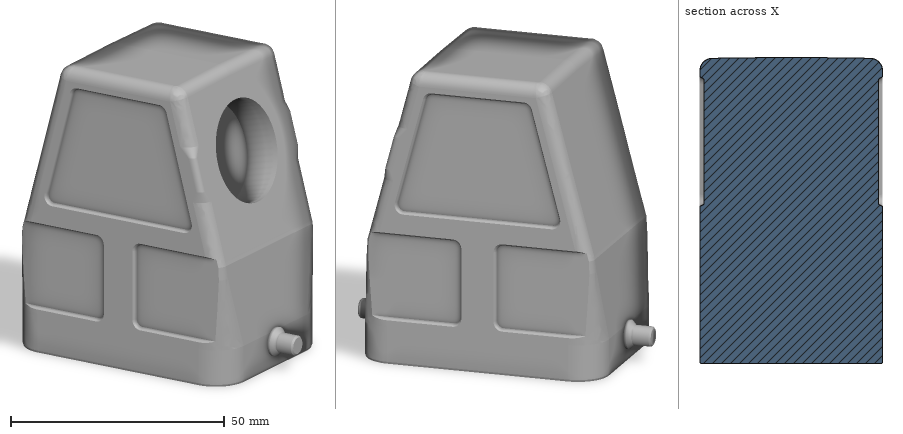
import cadquery as cq
import math

total_length = 72.6
depth = 43.0
height = 72.0

base_half_length = 30.05
base_height = 9.0
waist_half_length = 28.1
waist_bottom = 29.6
waist_top = 30.35
shoulder_half_length = 27.9
end_angle = math.radians(15)

base_corner_radius = 7.6
waist_corner_radius = 3.4
corner_radius = 3.1
corner_blend_top = 26.5
top_edge_radius = 3.05
rim_height = 0.5
rim_inset = 0.15
crown_drop = 0.3

entry_x = 22.1
entry_diameter = 25.0
entry_depth = 8.7

entry_corner_radius = 1.45
entry_blend_bottom = 44.95
entry_corner_bottom = 47.6
entry_corner_top = 55.7
entry_blend_top = 58.1

panel_depth = 1.0
panel_wall_angle = 30.0
panel_radius = 2.2
upper_panel_bottom = 36.95
upper_panel_top = 67.4
upper_panel_half_base = 21.2
lower_panel_bottom = 10.7
lower_panel_top = 32.1
lower_panel_gap = 8.0

pin_height = 6.25
pin_diameter = 4.8
pin_tip_diameter = 4.0
collar_diameter = 7.0
collar_length = 0.6

overlap = 0.7


def end_half_length(z):
    """Half-length of the hood at height z: upright base, slight taper, steeper upper ends."""
    if z <= base_height:
        return base_half_length
    if z <= waist_bottom:
        taper = (base_half_length - waist_half_length) / (waist_bottom - base_height)
        return base_half_length - (z - base_height) * taper
    return shoulder_half_length - (z - waist_top) * math.tan(end_angle)


def section(z, radius, inset=0.0):
    """Rounded rectangle across the whole hood at height z."""
    outline = cq.Sketch().rect(2 * (end_half_length(z) - inset), depth - 2 * inset)
    outline = outline.vertices().fillet(radius)
    return outline.moved(cq.Location(cq.Vector(0, 0, z)))


def entry_side_section(z, radius):
    """Rectangle over the +X half of the hood at height z, rounded at its outer corners."""
    half_length = end_half_length(z)
    outline = cq.Sketch().rect(half_length, depth).vertices(">X").fillet(radius)
    return outline.moved(cq.Location(cq.Vector(half_length / 2, 0, z)))


def loft_through(levels):
    """Solid with straight walls between successive sections."""
    return cq.Workplane().placeSketch(*levels).loft(ruled=True)


def make_body():
    """Tapered hood with a slightly crowned top and a rounded top edge."""
    hood = loft_through([
        section(0, base_corner_radius, rim_inset),
        section(rim_height, base_corner_radius),
        section(base_height, base_corner_radius),
        section(corner_blend_top, waist_corner_radius),
        section(waist_bottom, corner_radius),
        section(waist_top, corner_radius),
        section(height, corner_radius),
    ])
    entry_side = loft_through([
        entry_side_section(entry_blend_bottom, corner_radius),
        entry_side_section(entry_corner_bottom, entry_corner_radius),
        entry_side_section(entry_corner_top, entry_corner_radius),
        entry_side_section(entry_blend_top, corner_radius),
    ])
    hood = hood.union(entry_side)

    half_depth = depth / 2
    above_crown = (
        cq.Workplane("YZ")
        .moveTo(-half_depth, height - crown_drop)
        .lineTo(0, height)
        .lineTo(half_depth, height - crown_drop)
        .lineTo(half_depth, height + overlap)
        .lineTo(-half_depth, height + overlap)
        .close()
        .extrude(base_half_length, both=True)
    )
    hood = hood.cut(above_crown)

    rim_zone = cq.selectors.BoxSelector(
        (-base_half_length, -half_depth, height - 2 * crown_drop),
        (base_half_length, half_depth, height - crown_drop / 4),
    )
    return hood.edges(rim_zone).fillet(top_edge_radius)


def make_entry():
    """Blind cable hole, square to the sloping +X end."""
    entry_z = waist_top + (shoulder_half_length - entry_x) / math.tan(end_angle)
    mouth = cq.Vector(entry_x, 0, entry_z)
    into_hood = cq.Vector(-math.cos(end_angle), 0, -math.sin(end_angle))
    start = mouth - into_hood * overlap
    return cq.Solid.makeCylinder(entry_diameter / 2, entry_depth + overlap, start, into_hood)


def recess_cutter(corners):
    """Recess cutter through the given XZ corners, with walls that lean inwards."""
    outline = cq.Sketch().polygon(corners + corners[:1]).vertices().fillet(panel_radius)
    face_in = cq.Plane((0, -depth / 2, 0), (1, 0, 0), (0, -1, 0))
    return cq.Workplane(face_in).placeSketch(outline).extrude(-panel_depth, taper=panel_wall_angle)


def make_panels():
    """Recess cutters for the -Y side: one upper trapezoid and two lower rectangles."""
    upper_panel_half_top = upper_panel_half_base - (
        upper_panel_top - upper_panel_bottom
    ) * math.tan(end_angle)
    upper = recess_cutter([
        (-upper_panel_half_base, upper_panel_bottom),
        (upper_panel_half_base, upper_panel_bottom),
        (upper_panel_half_top, upper_panel_top),
        (-upper_panel_half_top, upper_panel_top),
    ])
    inner = lower_panel_gap / 2
    outer = total_length / 2
    lower = recess_cutter([
        (inner, lower_panel_bottom),
        (outer, lower_panel_bottom),
        (outer, lower_panel_top),
        (inner, lower_panel_top),
    ])
    return upper.union(lower).union(lower.mirror("YZ"))


def make_pin():
    """Pin on the +X end: collar, conical shoulder and chamfered tip."""
    collar_radius = collar_diameter / 2
    pin_radius = pin_diameter / 2
    tip_radius = pin_tip_diameter / 2
    collar_end = base_half_length + collar_length
    shoulder_end = collar_end + collar_radius - pin_radius
    pin_end = total_length / 2
    profile = (
        cq.Workplane("XY")
        .moveTo(base_half_length - overlap, 0)
        .lineTo(base_half_length - overlap, collar_radius)
        .lineTo(collar_end, collar_radius)
        .lineTo(shoulder_end, pin_radius)
        .lineTo(pin_end - (pin_radius - tip_radius), pin_radius)
        .lineTo(pin_end, tip_radius)
        .lineTo(pin_end, 0)
        .close()
    )
    pin = profile.revolve(360, (0, 0, 0), (1, 0, 0))
    return pin.translate((0, 0, pin_height))


body = make_body().cut(make_entry())

panels = make_panels()
body = body.cut(panels).cut(panels.mirror("XZ"))

pin = make_pin()
result = body.union(pin).union(pin.mirror("YZ"))